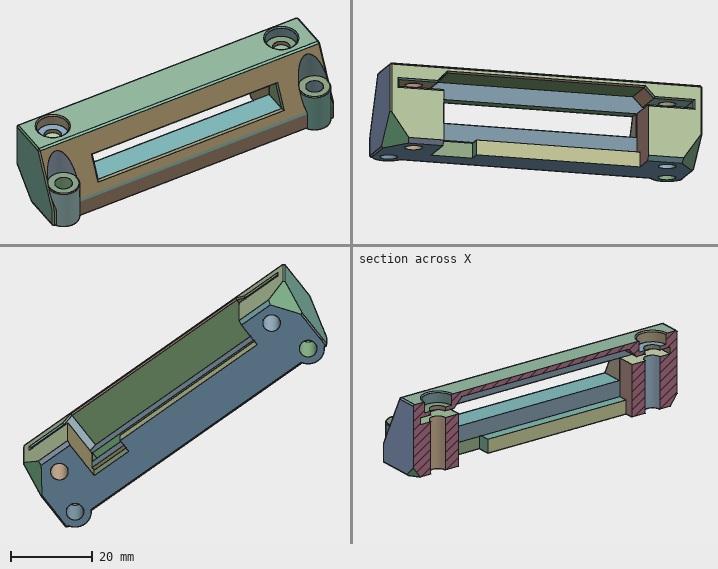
import cadquery as cq
import math

length = 80.0
height = 19.8
body_width = 17.9
top_width = 10.9
slope_foot_height = 5.1
overall_width = 19.7
edge_chamfer = 0.4
half_length = length / 2

bottom_bevel_width = 1.0
bottom_bevel_height = 1.2
corner_reach = 7.9
corner_reach_y = corner_reach / math.sqrt(2)

recess_depth = 10.0
recess_floor = 14.1
recess_half_length = 37.7
recess_end_top = 15.8
recess_middle_top = 18.3
recess_foot_half = 27.7
recess_crown_half = 25.2
rim_chamfer = 0.4

gap_half_length = 26.2
ledge_height = 3.8
undercut_depth = 10.9
ledge_front = 7.4
ledge_end_y = 15.7

window_half_length = 26.1
window_floor = 8.1

hole_diameter = 4.3
head_diameter = 8.0
head_depth = 3.0
head_rim = 0.3
screw_x = 5.0
screw_y = 32.5

boss_diameter = 8.0
boss_x = overall_width - boss_diameter / 2
boss_y = 35.7
boss_height = 10.7
boss_chamfer = 0.2


def block(x0, x1, y0, y1, z0, z1):
    """Axis-aligned box between the given limits."""
    return cq.Workplane("XY").box(x1 - x0, y1 - y0, z1 - z0, centered=False).translate((x0, y0, z0))


def cylinder(diameter, x, y, z0, z1):
    """Upright cylinder between two heights."""
    return cq.Workplane("XY", origin=(x, y, z0)).circle(diameter / 2).extrude(z1 - z0)


def along_y(points):
    """X-Z outline extruded over the full length."""
    return cq.Workplane("XZ").polyline(points).close().extrude(half_length, both=True)


def body_block():
    """Full-length bar with every outer edge chamfered."""
    outline = [
        (0, 0),
        (body_width, 0),
        (body_width, slope_foot_height),
        (top_width, height),
        (0, height),
    ]
    return along_y(outline).edges().chamfer(edge_chamfer)


def bottom_bevel():
    """Wedge removed from the bottom edge at X = 0."""
    return along_y([(0, 0), (bottom_bevel_width, 0), (0, bottom_bevel_height)])


def corner_facet(side):
    """Everything outside the facet plane at the end Y = side * half_length."""
    outward = (-1 / corner_reach, side / corner_reach_y, -1 / corner_reach)
    plane = cq.Plane(origin=(0, side * half_length, corner_reach), normal=outward)
    return cq.Workplane(plane).rect(length, length).extrude(height)


def side_recess():
    """Recess with a chamfered rim, open at X = 0."""
    outline = [
        (-recess_half_length, recess_floor),
        (recess_half_length, recess_floor),
        (recess_half_length, recess_end_top),
        (recess_foot_half, recess_end_top),
        (recess_crown_half, recess_middle_top),
        (-recess_crown_half, recess_middle_top),
        (-recess_foot_half, recess_end_top),
        (-recess_half_length, recess_end_top),
    ]
    mouth = cq.Workplane("YZ").polyline(outline).close()
    rim = mouth.offset2D(rim_chamfer, "intersection").extrude(rim_chamfer, taper=45)
    pocket = cq.Workplane("YZ").polyline(outline).close().extrude(recess_depth)
    return pocket.union(rim)


def leg_gap():
    """Space between the legs, leaving the bar along its bottom."""
    gap = block(0, recess_depth, -gap_half_length, gap_half_length, 0, recess_floor)
    undercut = block(0, undercut_depth, -gap_half_length, gap_half_length, 0, ledge_height)
    ledge = block(ledge_front, undercut_depth, -gap_half_length, ledge_end_y, 0, ledge_height)
    return gap.union(undercut).cut(ledge)


def window():
    """Opening from the back of the recess out through the slope."""
    return block(
        recess_depth, body_width, -window_half_length, window_half_length, window_floor, recess_floor
    )


def window_rim_edges():
    """Selects the edges where the window meets the sloping side."""
    slope_run = (body_width - top_width) / (height - slope_foot_height)
    x_min = body_width - slope_run * (recess_floor - slope_foot_height)
    x_max = body_width - slope_run * (window_floor - slope_foot_height)
    margin = 0.1
    return cq.selectors.BoxSelector(
        (x_min - margin, -window_half_length - margin, window_floor - margin),
        (x_max + margin, window_half_length + margin, recess_floor + margin),
    )


body = body_block().cut(window())
body = body.edges(window_rim_edges()).chamfer(rim_chamfer)
body = body.cut(bottom_bevel()).cut(side_recess()).cut(leg_gap())

for side in (-1, 1):
    body = body.cut(corner_facet(side))

    boss = cylinder(boss_diameter, boss_x, side * boss_y, 0, boss_height)
    boss = boss.faces(">Z").edges().chamfer(boss_chamfer)
    body = body.cut(cylinder(boss_diameter, boss_x, side * boss_y, boss_height, height))
    body = body.union(boss)
    body = body.cut(cylinder(hole_diameter, boss_x, side * boss_y, 0, height))

    head = cylinder(head_diameter, screw_x, side * screw_y, height - head_depth, height)
    head_cone = (
        cq.Workplane("XY", origin=(screw_x, side * screw_y, height))
        .circle(head_diameter / 2 + head_rim)
        .extrude(-head_rim, taper=45)
    )
    body = body.cut(head).cut(head_cone)
    body = body.cut(cylinder(hole_diameter, screw_x, side * screw_y, 0, height))

result = body